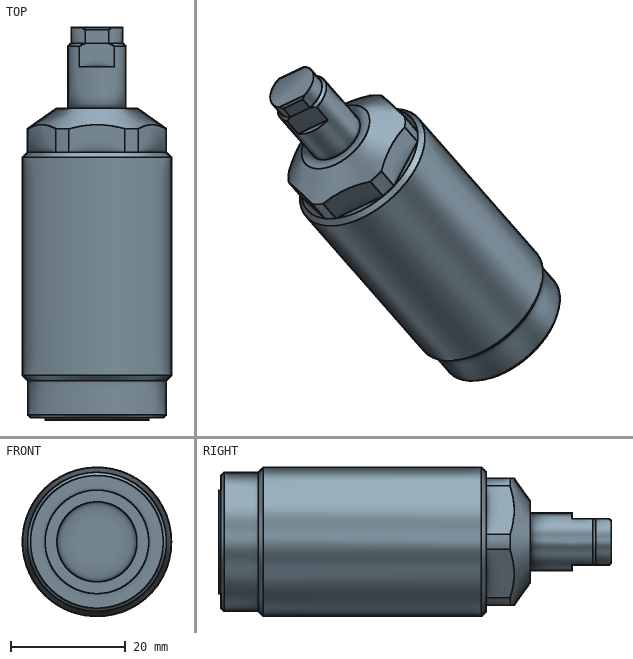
import cadquery as cq
import math

total_length = 68.5
lip_projection = 0.4
barrel_front = 6.9
barrel_rear = 46.7
hex_corner_end = 50.8
cone_end = 54.4
stem_flat_start = 61.65
stem_end = 65.75

barrel_radius = 13.0
collar_radius = 12.1
barrel_chamfer = barrel_radius - collar_radius
nose_chamfer = 0.55

lip_radius = 9.05
recess_radius = 7.0
recess_depth = 1.5

hex_across_flats = 22.2
cone_small_radius = 7.05
stem_radius = 5.1
stem_chamfer = 0.55
flat_half_height = 4.05

tip_radius = 4.5
tip_chamfer_length = 0.35
tip_chamfer_height = 0.4


def revolve_profile(points):
    """Turn a closed (radius, Y) outline about the Y axis."""
    return cq.Workplane("XY").polyline(points).close().revolve(360, (0, 0, 0), (0, 1, 0))


def cylinder(radius, start, end):
    """Cylinder along Y between two stations."""
    return revolve_profile([(0, start), (radius, start), (radius, end), (0, end)])


def make_housing():
    """Barrel with a reduced front collar and a recessed lip on its face."""
    body = revolve_profile([
        (0, 0),
        (lip_radius, 0),
        (lip_radius, lip_projection),
        (collar_radius - nose_chamfer, lip_projection),
        (collar_radius, lip_projection + nose_chamfer),
        (collar_radius, barrel_front),
        (barrel_radius, barrel_front + barrel_chamfer),
        (barrel_radius, barrel_rear - barrel_chamfer),
        (collar_radius, barrel_rear),
        (0, barrel_rear),
    ])
    return body.cut(cylinder(recess_radius, 0, recess_depth))


def make_hex_base():
    """Hexagon with rounded corners and a conical rear shoulder."""
    turned = revolve_profile([
        (0, barrel_rear),
        (collar_radius, barrel_rear),
        (collar_radius, hex_corner_end),
        (cone_small_radius, cone_end),
        (0, cone_end),
    ])
    across_corners = hex_across_flats / math.cos(math.pi / 6)
    hexagon = (
        cq.Workplane("XZ", origin=(0, barrel_rear, 0))
        .polygon(6, across_corners)
        .extrude(barrel_rear - cone_end)
    )
    return turned.intersect(hexagon)


def flat_slab(start, end):
    """Block between two stations whose top and bottom are the wrench flats."""
    return (
        cq.Workplane("XY")
        .box(2 * stem_radius, end - start, 2 * flat_half_height)
        .translate((0, (start + end) / 2, 0))
    )


def make_stem():
    """Chamfered stem with a pair of wrench flats at its end."""
    shank = cylinder(stem_radius, cone_end, stem_flat_start)
    flatted_end = revolve_profile([
        (0, stem_flat_start),
        (stem_radius, stem_flat_start),
        (stem_radius, stem_end - stem_chamfer),
        (stem_radius - stem_chamfer, stem_end),
        (0, stem_end),
    ]).intersect(flat_slab(stem_flat_start, stem_end))
    return shank.union(flatted_end)


def make_rear_fitting():
    """Hexagonal base and cable stem in one piece."""
    return make_hex_base().union(make_stem())


def make_tip():
    """Round tip with flats in line with the stem flats, bevelled at the free end."""
    slab = flat_slab(stem_end, total_length)
    bevelled_slab = slab.faces(">Y").edges("|X").chamfer(tip_chamfer_length, tip_chamfer_height)
    return cylinder(tip_radius, stem_end, total_length).intersect(bevelled_slab)


housing = make_housing()
rear_fitting = make_rear_fitting()
tip = make_tip()

result = cq.Compound.makeCompound([housing.val(), rear_fitting.val(), tip.val()])